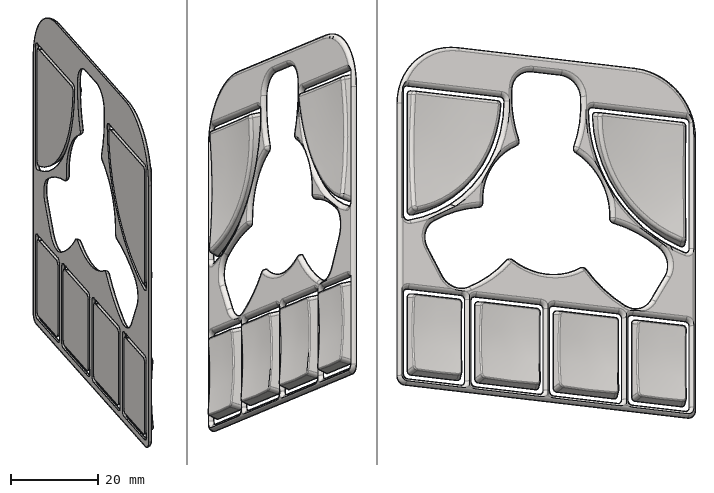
import cadquery as cq
import math

plate_width = 74.0
plate_height = 81.8
plate_thickness = 1.1
top_corner_radius = 15.0
bottom_corner_radius = 2.0
edge_land = 0.02

rail = 1.55
window_corner_radius = 1.0
key_gap = 1.0
key_corner_radius = 1.0
wing_back_fillet = 0.8
bottom_back_fillet = 0.3
key_blank_height = 3.3
key_draft = 15.0

bottom_window_height = 21.35
outer_window_width = 15.2
wing_window_top = 71.25
wing_arc_radius = 32.1
wing_arc_center_x = 42.5
wing_arc_center_z = 70.35
wing_arc_middle_angle = 40.0

hub_z = 46.1
hub_radius = 15.8
lobe_length = 32.0
lobe_half_width = 8.6
lobe_side_radius = 29.45
lobe_widest = 25.35
lobe_end_radius = 5.0
lobe_count = 3
neck_fillet = 1.1

wing_dish_radius = 125.15
wing_dish_floor = 1.2
wing_dish_x = 25.8
wing_dish_z = 56.3
bottom_dish_radius = 73.6
bottom_dish_z = 12.85
outer_dish_floor = 1.7
inner_dish_floor = 1.6

half_width = plate_width / 2
edge_round = plate_thickness - edge_land
outer_window = (half_width - rail - outer_window_width, half_width - rail)
inner_window = (rail / 2, outer_window[0] - rail)


def front_plane():
    """Sketch plane on the front face: local x is X, local y is Z, negative extrusions run towards +Y."""
    return cq.Workplane(cq.Plane(origin=(0, 0, 0), xDir=(1, 0, 0), normal=(0, -1, 0)))


def rectangle_outline(side, near_x, far_x, inset):
    """Outline of a bottom-row window on one side, or of its key when inset by the gap."""
    width = far_x - near_x - 2 * inset
    height = bottom_window_height - 2 * inset
    center_z = rail + bottom_window_height / 2
    return front_plane().center(side * (near_x + far_x) / 2, center_z).rect(width, height)


def wing_outline(side, inset):
    """Outline of a wing window: straight top and outer edge, closed by an arc."""
    outer_x = half_width - rail - inset
    top_z = wing_window_top - inset
    radius = wing_arc_radius - inset
    near_x = wing_arc_center_x - math.sqrt(radius**2 - (top_z - wing_arc_center_z) ** 2)
    low_z = wing_arc_center_z - math.sqrt(radius**2 - (wing_arc_center_x - outer_x) ** 2)
    middle_x = wing_arc_center_x - radius * math.cos(math.radians(wing_arc_middle_angle))
    middle_z = wing_arc_center_z - radius * math.sin(math.radians(wing_arc_middle_angle))
    return (
        front_plane()
        .moveTo(side * outer_x, top_z)
        .lineTo(side * near_x, top_z)
        .threePointArc((side * middle_x, middle_z), (side * outer_x, low_z))
        .close()
    )


def window_cutter(outline):
    return outline.extrude(-plate_thickness).edges("|Y").fillet(window_corner_radius)


def lobe_cutter(index):
    """One lobe of the central opening, waisted towards the hub."""
    side_center_x = lobe_half_width - lobe_side_radius
    end_x = side_center_x + math.sqrt(lobe_side_radius**2 - (lobe_length - lobe_widest) ** 2)
    root_x = side_center_x + math.sqrt(lobe_side_radius**2 - lobe_widest**2)
    lobe = (
        front_plane()
        .moveTo(-root_x, 0)
        .threePointArc((-lobe_half_width, lobe_widest), (-end_x, lobe_length))
        .lineTo(end_x, lobe_length)
        .threePointArc((lobe_half_width, lobe_widest), (root_x, 0))
        .close()
        .extrude(-plate_thickness)
        .edges("|Y and >Z")
        .fillet(lobe_end_radius)
    )
    return lobe.rotate((0, 0, 0), (0, 1, 0), index * 360 / lobe_count)


def opening_cutter():
    """Round hub with its lobes, softened where they meet."""
    opening = front_plane().circle(hub_radius).extrude(-plate_thickness)
    for index in range(lobe_count):
        opening = opening.union(lobe_cutter(index))
    reach = hub_radius + 0.8
    near_hub = cq.selectors.BoxSelector((-reach, -0.8, -reach), (reach, plate_thickness + 0.8, reach))
    opening = opening.edges("|Y").edges(near_hub).fillet(neck_fillet)
    return opening.translate((0, 0, hub_z))


def plate_border():
    """The plate without holes, its outer edge rounded on the back."""
    border = front_plane().center(0, plate_height / 2).rect(plate_width, plate_height)
    border = border.extrude(-plate_thickness)
    border = border.edges("|Y and >Z").fillet(top_corner_radius)
    border = border.edges("|Y and <Z").fillet(bottom_corner_radius)
    return border.faces(">Y").edges().fillet(edge_round)


def rounded_hole(cutter):
    """An oversized slab with one hole, whose rim is rounded on the back."""
    slab = front_plane().center(0, plate_height / 2).rect(2 * plate_width, 2 * plate_height)
    slab = slab.extrude(-plate_thickness).cut(cutter)
    inside = cq.selectors.BoxSelector(
        (-half_width, 0, 0), (half_width, 2 * plate_thickness, plate_height)
    )
    return slab.faces(">Y").edges(inside).fillet(edge_round)


def make_plate():
    """The overlap of the border and the holes, so rounded rims may meet on the narrow rails."""
    plate = plate_border().intersect(rounded_hole(opening_cutter()))
    for side in (-1, 1):
        plate = plate.intersect(rounded_hole(window_cutter(wing_outline(side, 0))))
        for near_x, far_x in (outer_window, inner_window):
            window = window_cutter(rectangle_outline(side, near_x, far_x, 0))
            plate = plate.intersect(rounded_hole(window))
    return plate


def make_key(outline, dish_x, dish_z, dish_floor, dish_radius, back_fillet):
    """A drafted key, flush with the plate's front, with a spherical finger dish in its back."""
    key = outline.extrude(-key_blank_height, taper=key_draft)
    key = key.edges("(not <Y) and (not >Y)").fillet(key_corner_radius)
    dish = cq.Workplane().sphere(dish_radius).translate((dish_x, dish_floor + dish_radius, dish_z))
    key = key.cut(dish)
    return key.faces("%SPHERE").edges().fillet(back_fillet)


def make_wing_key(side):
    outline = wing_outline(side, key_gap)
    dish_x = side * wing_dish_x
    return make_key(outline, dish_x, wing_dish_z, wing_dish_floor, wing_dish_radius, wing_back_fillet)


def make_bottom_key(side, window, dish_floor):
    """A key of the bottom row, with its dish midway across."""
    near_x, far_x = window
    outline = rectangle_outline(side, near_x, far_x, key_gap)
    dish_x = side * (near_x + far_x) / 2
    return make_key(outline, dish_x, bottom_dish_z, dish_floor, bottom_dish_radius, bottom_back_fillet)


plate = make_plate()

wing_keys = []
outer_keys = []
inner_keys = []
for side in (-1, 1):
    wing_keys.append(make_wing_key(side))
    outer_keys.append(make_bottom_key(side, outer_window, outer_dish_floor))
    inner_keys.append(make_bottom_key(side, inner_window, inner_dish_floor))

keys = wing_keys + outer_keys + inner_keys
result = cq.Compound.makeCompound([plate.val(), *[key.val() for key in keys]])